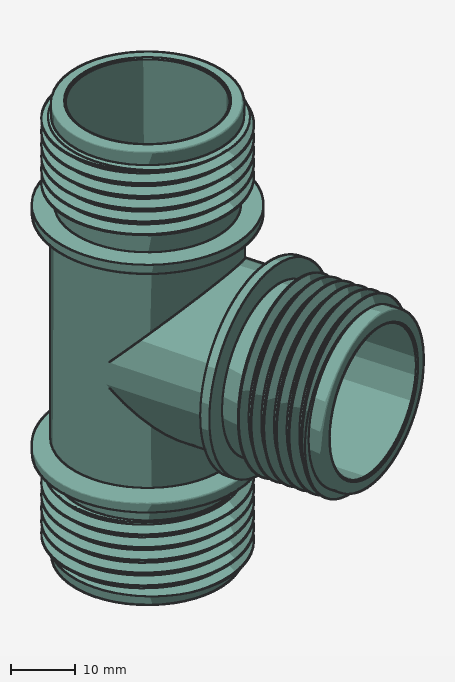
import cadquery as cq

port_reach = 41.35

body_radius = 30.3 / 2
bore_radius = 25.4 / 2
flange_radius = 36.0 / 2
face_ring_radius = 15.7
neck_radius = 29.0 / 2
tip_radius = 30.0 / 2
thread_crest_radius = 33.0 / 2

thread_start = 2.6
thread_end = 15.3
flange_face = 18.7
flange_rim = 18.85
flange_back = 20.6
flange_cone_end = 21.6

thread_pitch = 2.3
crest_width = 0.2
root_width = 1.9
crest_setback = 3.5
helix_turns = 8
root_overlap = 0.4

bottom_thread_turn = -60

tip_fillet = 0.5
flange_fillet = 0.5
bore_chamfer = 0.25


def port_core():
    """Solid of revolution along +Z: body, coned flange, neck and tip, without thread."""
    outline = [
        (0, 0),
        (body_radius, 0),
        (body_radius, port_reach - flange_cone_end),
        (flange_radius, port_reach - flange_back),
        (flange_radius, port_reach - flange_rim),
        (face_ring_radius, port_reach - flange_face),
        (neck_radius, port_reach - flange_face),
        (neck_radius, port_reach - thread_end),
        (tip_radius, port_reach - thread_end),
        (tip_radius, port_reach),
        (0, port_reach),
    ]
    core = cq.Workplane("XZ").polyline(outline).close().revolve(360, (0, 0), (0, 1))
    core = core.faces(">Z").edges().fillet(tip_fillet)
    rim_edges = core.edges(cq.selectors.RadiusNthSelector(-1))
    return rim_edges.edges("<Z").fillet(flange_fillet)


def thread_ridge():
    """Right-handed helical ridge, cut off square at both ends of the threaded length."""
    helix_height = helix_turns * thread_pitch
    first_crest = port_reach - crest_setback
    helix_top = first_crest + thread_pitch / 2 + thread_pitch
    helix_base = helix_top - helix_height

    base_radius = tip_radius - root_overlap
    flank_slope = (root_width - crest_width) / 2 / (thread_crest_radius - tip_radius)
    half_base = root_width / 2 + flank_slope * root_overlap
    half_crest = crest_width / 2
    section = (
        cq.Workplane("XZ")
        .polyline([
            (base_radius, -half_base),
            (thread_crest_radius, -half_crest),
            (thread_crest_radius, half_crest),
            (base_radius, half_base),
        ])
        .close()
    )
    helix = cq.Wire.makeHelix(thread_pitch, helix_height, base_radius)
    ridge = section.sweep(cq.Workplane(obj=helix), isFrenet=True).translate((0, 0, helix_base))

    threaded_length = (
        cq.Workplane("XY")
        .workplane(offset=port_reach - thread_end)
        .circle(flange_radius)
        .extrude(thread_end - thread_start)
    )
    return ridge.intersect(threaded_length)


def port_bore():
    """Through bore along +Z with a small chamfer at the mouth."""
    bore = cq.Workplane("XY").circle(bore_radius).extrude(port_reach)
    mouth = (
        cq.Workplane("XY")
        .workplane(offset=port_reach - bore_chamfer)
        .circle(bore_radius)
        .workplane(offset=bore_chamfer)
        .circle(bore_radius + bore_chamfer)
        .loft(ruled=True)
    )
    return bore.union(mouth)


def to_bottom(shape):
    """Flip a +Z port shape over to the -Z port."""
    return shape.rotate((0, 0, 0), (1, 0, 0), 180)


def to_branch(shape):
    """Lay a +Z port shape over to the +X port."""
    return shape.rotate((0, 0, 0), (0, 1, 0), 90)


def joined_ports(port):
    """One solid from three copies of a +Z port shape."""
    return port.union(to_bottom(port)).union(to_branch(port))


tee = joined_ports(port_core()).cut(joined_ports(port_bore()))

thread = thread_ridge()
bottom_thread = to_bottom(thread).rotate((0, 0, 0), (0, 0, 1), bottom_thread_turn)
result = tee.union(thread).union(bottom_thread).union(to_branch(thread))